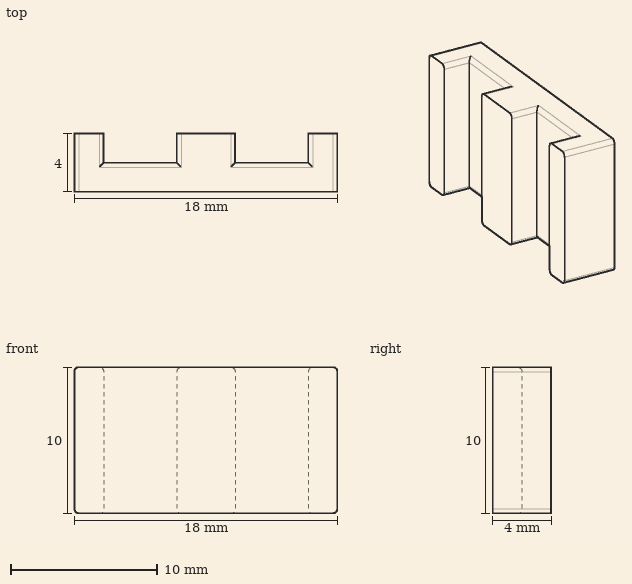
import cadquery as cq

length = 18.0
depth = 4.0
height = 10.0

centre_leg_width = 4.0
outer_leg_width = centre_leg_width / 2
slot_depth = 2.0
edge_radius = 0.3

slot_width = (length - centre_leg_width) / 2 - outer_leg_width
slot_offset = (centre_leg_width + slot_width) / 2
slot_floor_y = depth / 2 - slot_depth


def winding_slots():
    """Two full-height slots, open towards +Y."""
    return (
        cq.Workplane("XY")
        .pushPoints([(-slot_offset, slot_floor_y), (slot_offset, slot_floor_y)])
        .rect(slot_width, 2 * slot_depth)
        .extrude(height, both=True)
        .translate((0, slot_depth, 0))
    )


core = cq.Workplane("XY").box(length, depth, height).cut(winding_slots())

leg_side_edges = core.faces("<Z or >Z").edges("|Y")
slot_floor_edges = core.faces("<Z or >Z").edges("|X").edges("not(<Y or >Y)")
result = leg_side_edges.add(slot_floor_edges).fillet(edge_radius)